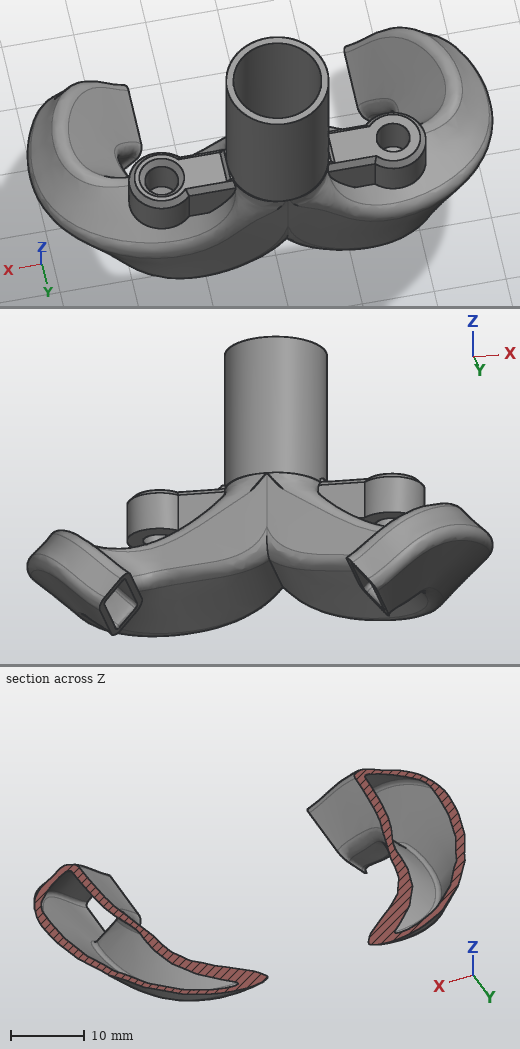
import cadquery as cq
import math

TUBE_OD = 14.0
TUBE_BORE = 12.0
TUBE_LENGTH = 20.0
WALL = (TUBE_OD - TUBE_BORE) / 2
TUBE_R = TUBE_OD / 2

LUG_X = 16.1
LUG_R = 4.45
LUG_HEIGHT = 6.0
LUG_HOLE_D = 4.5
LUG_BEVEL = 0.75
WEB_WIDTH = 6.3
COUNTERSINK_D = 6.1
WEB_ROOT_HEIGHT = 0.5

ROOT_R = TUBE_R - 0.03
ROOT_SETBACK = 6.65
EDGE_SETBACK = 1.6
TIP_TOP_X, TIP_TOP_Z = -15.0, -22.3
TIP_LOW_X, TIP_LOW_Z = -19.2, -27.3
TIP_FRONT_Y, TIP_BACK_Y = -29.6, -17.7
CIRCLE_HANDLE = 4 / 3 * (math.sqrt(2) - 1)
CLIP_SIZE = 127.6

ARM_SECTIONS = [
    (
        [(-ROOT_R, -ROOT_R, 0), (-ROOT_R, ROOT_R, 0), (ROOT_R, ROOT_R, 0), (ROOT_R, -ROOT_R, 0)],
        ROOT_SETBACK,
    ),
    ([(-6.6, -6.95, -1.0), (-6.6, 6.95, -1.0), (5.1, 6.95, -4.15), (5.1, -6.95, -4.15)], 4.8),
    ([(-7.35, -7, -3.2), (-7.35, 7, -3.2), (0, 7, -11.9), (0, -7, -11.9)], 2.25),
    ([(-13.9, -6.9, -7.65), (-14.05, 6.75, -8.5), (-9.6, 6.75, -17.35), (-9.6, -7, -14.15)], EDGE_SETBACK),
    ([(-22.95, -7.35, -8.8), (-27.75, 0.3, -11.8), (-21.4, -0.3, -20.1), (-16.6, -8.4, -15.45)], EDGE_SETBACK),
    ([(-27.1, -14.05, -9.05), (-32.5, -13.7, -14.7), (-23.6, -14.05, -22.95), (-18.45, -13.7, -17.2)], EDGE_SETBACK),
    ([(-24.4, -23.6, -12.9), (-29.0, -24.35, -18.05), (-22.6, -16.6, -24.2), (-17.85, -16.15, -18.9)], EDGE_SETBACK),
    ([(-20.1, -28.05, -17.35), (-24.55, -28.65, -22.45), (-20.9, -17.5, -25.8), (-16.5, -17.2, -20.65)], EDGE_SETBACK),
    (
        [
            (TIP_TOP_X, TIP_FRONT_Y, TIP_TOP_Z),
            (TIP_LOW_X, TIP_FRONT_Y, TIP_LOW_Z),
            (TIP_LOW_X, TIP_BACK_Y, TIP_LOW_Z),
            (TIP_TOP_X, TIP_BACK_Y, TIP_TOP_Z),
        ],
        EDGE_SETBACK,
    ),
]


def side_directions(corners, i):
    """Unit vectors from corner i toward the previous and the next corner."""
    to_previous = (corners[i - 1] - corners[i]).normalized()
    to_next = (corners[(i + 1) % len(corners)] - corners[i]).normalized()
    return to_previous, to_next


def inset(corners, distance):
    """Move every corner inward along both of its sides."""
    moved = []
    for i, corner in enumerate(corners):
        to_previous, to_next = side_directions(corners, i)
        moved.append(corner + (to_previous + to_next) * distance)
    return moved


def rounded_section(corners, setback):
    """Closed four-sided wire whose corners are tangent near-circular curves."""
    rounds = []
    for i, corner in enumerate(corners):
        to_previous, to_next = side_directions(corners, i)
        reaches = (setback, setback * (1 - CIRCLE_HANDLE))
        controls = [corner + to_previous * reach for reach in reaches]
        controls += [corner + to_next * reach for reach in reversed(reaches)]
        rounds.append(controls)
    edges = []
    for i, controls in enumerate(rounds):
        next_start = rounds[(i + 1) % len(rounds)][0]
        edges.append(cq.Edge.makeBezier(controls))
        edges.append(cq.Edge.makeLine(controls[-1], next_start))
    return cq.Wire.assembleEdges(edges)


def arm_loft(wall):
    """-X arm shrunk inward by wall, running past the mid-plane X = 0."""
    wires = []
    for points, setback in ARM_SECTIONS:
        corners = inset([cq.Vector(*point) for point in points], wall)
        wires.append(rounded_section(corners, max(setback - wall, WALL / 2)))
    return cq.Workplane(obj=cq.Solid.makeLoft(wires))


def negative_x():
    """Block covering everything on the -X side of the mid-plane."""
    return cq.Workplane().box(CLIP_SIZE, CLIP_SIZE, CLIP_SIZE).translate((-CLIP_SIZE / 2, 0, 0))


def lug(side):
    """Bevelled eye and web; side is -1 or +1 along X."""
    base = cq.Workplane().workplane(offset=-LUG_HEIGHT)
    eye = base.center(side * LUG_X, 0).circle(LUG_R).extrude(LUG_HEIGHT)
    web = base.center(side * LUG_X / 2, 0).rect(LUG_X, WEB_WIDTH).extrude(LUG_HEIGHT)
    return eye.union(web).faces(">Z").chamfer(LUG_BEVEL)


def web_root(side):
    """Small sloped gusset where the web meets the tube."""
    outer_x = TUBE_R + WEB_ROOT_HEIGHT
    profile = [(0, -WEB_ROOT_HEIGHT), (side * outer_x, -WEB_ROOT_HEIGHT), (side * outer_x, 0),
               (side * TUBE_R, WEB_ROOT_HEIGHT), (0, WEB_ROOT_HEIGHT)]
    width = WEB_WIDTH - 2 * LUG_BEVEL
    return cq.Workplane("XZ").polyline(profile).close().extrude(width / 2, both=True)


half = lug(-1).union(web_root(-1)).union(arm_loft(0), clean=False)
half = half.cut(arm_loft(WALL), clean=False)
half = half.intersect(negative_x())
body = half.union(half.mirror("YZ"), clean=False)

body = body.union(cq.Workplane().circle(TUBE_R).extrude(TUBE_LENGTH), clean=False)
body = body.cut(cq.Workplane().circle(TUBE_BORE / 2).extrude(TUBE_LENGTH), clean=False)

holes = cq.Workplane().pushPoints([(-LUG_X, 0), (LUG_X, 0)]).circle(LUG_HOLE_D / 2).extrude(-LUG_HEIGHT)
sink_depth = (COUNTERSINK_D - LUG_HOLE_D) / 2
sink = cq.Solid.makeCone(LUG_HOLE_D / 2, COUNTERSINK_D / 2, sink_depth, cq.Vector(LUG_X, 0, -sink_depth))
result = body.cut(holes, clean=False).cut(cq.Workplane(obj=sink), clean=False)